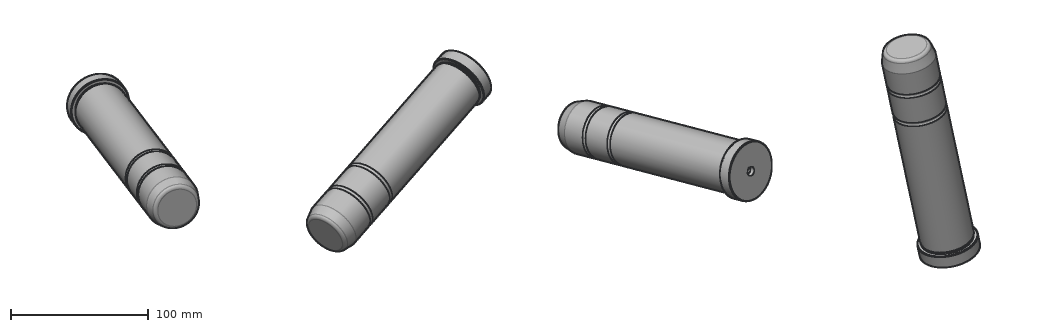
import cadquery as cq
import math

length = 180.0
head_radius = 22.5
head_length = 10.0
head_chamfer = 0.5
shaft_radius = 20.0

relief_depth = 0.5
relief_end = 12.0
relief_runout = 0.5

groove_centers = (125.0, 150.0)
groove_width = 3.0
groove_depth = 0.7

nose_start = 170.0
taper_angle = math.radians(15)
nose_radius = 3.0

seat_radius = 3.5
pilot_radius = 2.0
pilot_length = 4.5
seat_angle = math.radians(60)
drill_point_angle = math.radians(120)


def body():
    """Revolve the pin profile, including relief, grooves and nose."""
    relief_radius = shaft_radius - relief_depth
    round_center_x = length - nose_radius
    taper_end_x = round_center_x + nose_radius * math.sin(taper_angle)
    taper_end_r = shaft_radius - (taper_end_x - nose_start) * math.tan(taper_angle)
    round_center_r = taper_end_r - nose_radius * math.cos(taper_angle)
    mid_angle = (math.pi / 2 - taper_angle) / 2
    round_mid = (
        round_center_x + nose_radius * math.cos(mid_angle),
        round_center_r + nose_radius * math.sin(mid_angle),
    )

    profile = (
        cq.Workplane("XY")
        .lineTo(0, head_radius - head_chamfer)
        .lineTo(head_chamfer, head_radius)
        .lineTo(head_length - head_chamfer, head_radius)
        .lineTo(head_length, head_radius - head_chamfer)
        .lineTo(head_length, relief_radius)
        .lineTo(relief_end - relief_runout, relief_radius)
        .lineTo(relief_end, shaft_radius)
    )
    for center in groove_centers:
        profile = profile.lineTo(center - groove_width / 2, shaft_radius).threePointArc(
            (center, shaft_radius - groove_depth),
            (center + groove_width / 2, shaft_radius),
        )
    return (
        profile.lineTo(nose_start, shaft_radius)
        .lineTo(taper_end_x, taper_end_r)
        .threePointArc(round_mid, (length, round_center_r))
        .lineTo(length, 0)
        .close()
        .revolve(360, (0, 0, 0), (1, 0, 0))
    )


def center_hole():
    """Cutter for the center hole: conical seat, pilot and drill point."""
    seat_depth = (seat_radius - pilot_radius) / math.tan(seat_angle / 2)
    pilot_end = seat_depth + pilot_length
    point_depth = pilot_radius / math.tan(drill_point_angle / 2)
    return (
        cq.Workplane("XY")
        .lineTo(0, seat_radius)
        .lineTo(seat_depth, pilot_radius)
        .lineTo(pilot_end, pilot_radius)
        .lineTo(pilot_end + point_depth, 0)
        .close()
        .revolve(360, (0, 0, 0), (1, 0, 0))
    )


result = body().cut(center_hole())